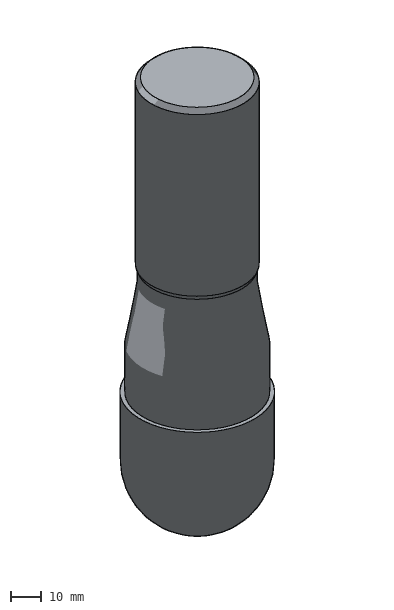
import cadquery as cq

TOTAL_HEIGHT = 171.0
BALL_DIAMETER = 50.0

SHANK_DIAMETER = 40.2
SHANK_CHAMFER = 1.7
NECK_DIAMETER = 39.0
BODY_DIAMETER = 47.0

TAPER_BOTTOM_Z = 69.6
NECK_BOTTOM_Z = 92.7
NECK_TOP_Z = 98.3
SHANK_BOTTOM_Z = 99.9

HEAD_TOP_Z = 51.0
RIM_BOTTOM_Z = 47.4
SIDE_TOP_Z = 45.3
RIM_DIAMETER = 50.1

BALL_RADIUS = BALL_DIAMETER / 2
RIM_RADIUS = RIM_DIAMETER / 2


def make_holder():
    """Shank, neck, taper and body, revolved about Z and resting on the head."""
    shank_radius = SHANK_DIAMETER / 2
    neck_radius = NECK_DIAMETER / 2
    body_radius = BODY_DIAMETER / 2
    return (
        cq.Workplane("XZ")
        .moveTo(0, HEAD_TOP_Z)
        .lineTo(body_radius, HEAD_TOP_Z)
        .lineTo(body_radius, TAPER_BOTTOM_Z)
        .lineTo(neck_radius, NECK_BOTTOM_Z)
        .lineTo(neck_radius, NECK_TOP_Z)
        .lineTo(shank_radius, SHANK_BOTTOM_Z)
        .lineTo(shank_radius, TOTAL_HEIGHT - SHANK_CHAMFER)
        .lineTo(shank_radius - SHANK_CHAMFER, TOTAL_HEIGHT)
        .lineTo(0, TOTAL_HEIGHT)
        .close()
        .revolve(360, (0, 0, 0), (0, 1, 0))
    )


def make_head():
    """Solid ball-ended head: hemisphere, straight side, short slope and rim."""
    diagonal = BALL_RADIUS * 0.5 ** 0.5
    return (
        cq.Workplane("XZ")
        .moveTo(0, 0)
        .threePointArc((diagonal, BALL_RADIUS - diagonal), (BALL_RADIUS, BALL_RADIUS))
        .lineTo(BALL_RADIUS, SIDE_TOP_Z)
        .lineTo(RIM_RADIUS, RIM_BOTTOM_Z)
        .lineTo(RIM_RADIUS, HEAD_TOP_Z)
        .lineTo(0, HEAD_TOP_Z)
        .close()
        .revolve(360, (0, 0, 0), (0, 1, 0))
    )


holder = make_holder()
head = make_head()
result = cq.Compound.makeCompound([holder.val(), head.val()])